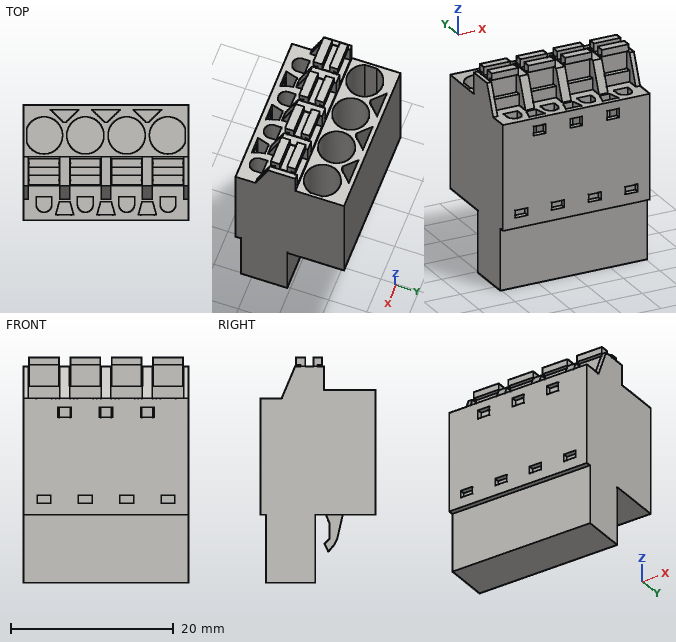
import cadquery as cq


POLES = 4
WIDTH = 20.33
DEPTH = 14.2
HEIGHT = 27.73
PITCH = WIDTH / POLES
FRONT = -DEPTH / 2
REAR = DEPTH / 2

SHOULDER_Z = 8.37
PLUG_FRONT = -6.4
PLUG_REAR = -0.33
FRONT_TOP_Z = 22.68
REAR_TOP_Z = 23.75
TOWER_TOP_Z = 26.62
TOWER_REAR = 0.75
TOWER_FRONT = -2.83
RIB_FOOT_FRONT = -4.5

RIB_WIDTH = 1.22
SLOT_WIDTH = PITCH - RIB_WIDTH
SLOT_FLOOR_Z = 24.2

BUTTON_CLEARANCE = 0.08
BUTTON_WIDTH = SLOT_WIDTH - 2 * BUTTON_CLEARANCE
HEAD_REAR = 0.5
HEAD_FRONT = -2.72
NOTCH_REAR = -0.58
NOTCH_FRONT = -1.55
HEAD_OVERHANG = 0.55
HEAD_BOTTOM_Z = 26.81
NOTCH_FLOOR_Z = TOWER_TOP_Z

WIRE_DIAMETER = 4.58
WIRE_Y = 3.35
WIRE_DEPTH = 8.32
SIDE_WALL = 0.4

TRIANGLE_REAR = 6.52
TRIANGLE_FRONT = 5.0
TRIANGLE_REAR_WIDTH = 3.5
TRIANGLE_TIP_WIDTH = 0.35
TRIANGLE_DEPTH = 8.32

TEST_WIDTH = 1.95
TEST_REAR = -4.2
TEST_ARC_Y = -5.13
TEST_DEPTH = 5.55

TRAPEZOID_REAR = -4.83
TRAPEZOID_FRONT = -6.4
TRAPEZOID_REAR_WIDTH = 1.33
TRAPEZOID_FRONT_WIDTH = 2.22
TRAPEZOID_DEPTH = 5.55
WINDOW_WIDTH = 1.65
WINDOW_TOP_Z = 21.57
WINDOW_BOTTOM_Z = 20.35

RECESS_WIDTH = 1.72
RECESS_TOP_Z = 10.8
RECESS_BOTTOM_Z = 9.8
RECESS_DEPTH = 0.7

HOOK_WIDTH = PITCH
HOOK_OUTLINE = [
    (3.05, SHOULDER_Z),
    (2.38, 5.44),
    (2.0, 4.7),
    (1.28, 3.83),
    (0.78, 4.83),
    (1.4, 5.44),
    (1.4, 7.35),
    (0.97, SHOULDER_Z),
]

POLE_XS = [(i - (POLES - 1) / 2) * PITCH for i in range(POLES)]
GAP_XS = [(i - (POLES - 2) / 2) * PITCH for i in range(POLES - 1)]


def box(x_mid, x_size, y_min, y_max, z_min, z_max):
    """Box centred on x_mid, between the given Y and Z limits."""
    block = cq.Workplane("XY").box(x_size, y_max - y_min, z_max - z_min, centered=(True, False, False))
    return block.translate((x_mid, y_min, z_min))


def extrude_along_x(outline, x_mid, x_size):
    """Prism with a YZ outline, centred on x_mid."""
    prism = cq.Workplane("YZ").polyline(outline).close().extrude(x_size / 2, both=True)
    return prism.translate((x_mid, 0, 0))


def tapered_pocket(x_mid, y_rear, rear_width, y_front, front_width, z_bottom, z_top):
    """Vertical pocket whose plan is a symmetric trapezoid."""
    plan = [
        (x_mid - rear_width / 2, y_rear),
        (x_mid + rear_width / 2, y_rear),
        (x_mid + front_width / 2, y_front),
        (x_mid - front_width / 2, y_front),
    ]
    return cq.Workplane("XY").workplane(offset=z_bottom).polyline(plan).close().extrude(z_top - z_bottom)


def housing_blank():
    outline = [
        (PLUG_FRONT, 0),
        (PLUG_REAR, 0),
        (PLUG_REAR, SHOULDER_Z),
        (REAR, SHOULDER_Z),
        (REAR, REAR_TOP_Z),
        (TOWER_REAR, REAR_TOP_Z),
        (TOWER_REAR, TOWER_TOP_Z),
        (TOWER_FRONT, TOWER_TOP_Z),
        (RIB_FOOT_FRONT, FRONT_TOP_Z),
        (FRONT, FRONT_TOP_Z),
        (FRONT, SHOULDER_Z),
        (PLUG_FRONT, SHOULDER_Z),
    ]
    return extrude_along_x(outline, 0, WIDTH)


def button_slot(x_mid):
    """Slot open to the front, top and rear, with a ledge under the button."""
    above_ledge = box(x_mid, SLOT_WIDTH, TOWER_FRONT, TOWER_REAR, SLOT_FLOOR_Z, TOWER_TOP_Z)
    before_ledge = box(x_mid, SLOT_WIDTH, RIB_FOOT_FRONT, TOWER_FRONT, FRONT_TOP_Z, TOWER_TOP_Z)
    return above_ledge.union(before_ledge)


def wire_entry(x_mid):
    """Round well, flattened where it would come too near a housing side."""
    bottom_z = REAR_TOP_Z - WIRE_DEPTH
    well = cq.Workplane("XY", origin=(x_mid, WIRE_Y, bottom_z)).circle(WIRE_DIAMETER / 2).extrude(WIRE_DEPTH)
    return well.intersect(box(0, WIDTH - 2 * SIDE_WALL, FRONT, REAR, bottom_z, REAR_TOP_Z))


def test_opening(x_mid):
    radius = TEST_WIDTH / 2
    return (
        cq.Workplane("XY", origin=(x_mid, 0, FRONT_TOP_Z))
        .moveTo(-radius, TEST_REAR)
        .lineTo(radius, TEST_REAR)
        .lineTo(radius, TEST_ARC_Y)
        .threePointArc((0, TEST_ARC_Y - radius), (-radius, TEST_ARC_Y))
        .close()
        .extrude(-TEST_DEPTH)
    )


def triangle_pocket(x_mid):
    return tapered_pocket(
        x_mid, TRIANGLE_REAR, TRIANGLE_REAR_WIDTH, TRIANGLE_FRONT, TRIANGLE_TIP_WIDTH,
        REAR_TOP_Z - TRIANGLE_DEPTH, REAR_TOP_Z,
    )


def windowed_pocket(x_mid):
    """Trapezoid pocket with a window from its wide side to the housing front."""
    pocket = tapered_pocket(
        x_mid, TRAPEZOID_REAR, TRAPEZOID_REAR_WIDTH, TRAPEZOID_FRONT, TRAPEZOID_FRONT_WIDTH,
        FRONT_TOP_Z - TRAPEZOID_DEPTH, FRONT_TOP_Z,
    )
    window = box(x_mid, WINDOW_WIDTH, FRONT, TRAPEZOID_FRONT, WINDOW_BOTTOM_Z, WINDOW_TOP_Z)
    return pocket.union(window)


def front_recess(x_mid):
    return box(x_mid, RECESS_WIDTH, FRONT, FRONT + RECESS_DEPTH, RECESS_BOTTOM_Z, RECESS_TOP_Z)


def make_housing():
    body = housing_blank()
    body = body.union(extrude_along_x(HOOK_OUTLINE, 0, HOOK_WIDTH))
    for x in POLE_XS:
        body = body.cut(button_slot(x))
        body = body.cut(wire_entry(x))
        body = body.cut(test_opening(x))
        body = body.cut(front_recess(x))
    for x in GAP_XS:
        body = body.cut(triangle_pocket(x))
        body = body.cut(windowed_pocket(x))
    return body


def make_button(x_mid):
    """Button standing on the slot floor, with two outward heads and a notch between them."""
    stem_front = HEAD_FRONT + HEAD_OVERHANG
    stem_rear = HEAD_REAR - HEAD_OVERHANG
    outline = [
        (stem_front, SLOT_FLOOR_Z),
        (stem_rear, SLOT_FLOOR_Z),
        (stem_rear, HEAD_BOTTOM_Z),
        (HEAD_REAR, HEAD_BOTTOM_Z),
        (HEAD_REAR, HEIGHT),
        (NOTCH_REAR, HEIGHT),
        (NOTCH_REAR, NOTCH_FLOOR_Z),
        (NOTCH_FRONT, NOTCH_FLOOR_Z),
        (NOTCH_FRONT, HEIGHT),
        (HEAD_FRONT, HEIGHT),
        (HEAD_FRONT, HEAD_BOTTOM_Z),
        (stem_front, HEAD_BOTTOM_Z),
    ]
    return extrude_along_x(outline, x_mid, BUTTON_WIDTH)


housing = make_housing()
buttons = [make_button(x) for x in POLE_XS]

result = cq.Compound.makeCompound([housing.val(), *[button.val() for button in buttons]])